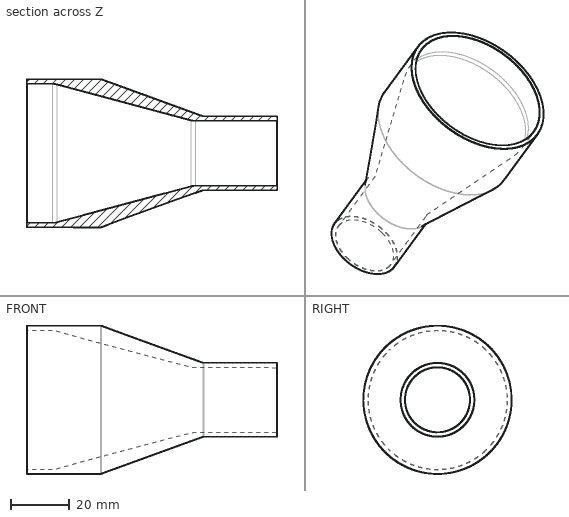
import cadquery as cq
import math

total_length = 85.7

large_diameter = 50.8
small_diameter = 25.4
end_length = 25.4
outer_blend_radius = 0.8
outer_cone_start = end_length
outer_cone_end = total_length - end_length

large_bore = 47.5
small_bore = 22.1
bore_cone_start = 9.5
bore_half_angle = 15.0
bore_blend_radius = 6.4
bore_cone_length = (large_bore - small_bore) / 2 / math.tan(math.radians(bore_half_angle))
bore_cone_end = bore_cone_start + bore_cone_length

rim_chamfer = 0.13


def tapered_solid(start_diameter, end_diameter, cone_start, cone_end, blend_radius):
    """Cylinder, cone and cylinder along X, with both ends of the cone blended."""
    half_profile = (
        cq.Workplane("XY")
        .lineTo(0, start_diameter / 2)
        .lineTo(cone_start, start_diameter / 2)
        .lineTo(cone_end, end_diameter / 2)
        .lineTo(total_length, end_diameter / 2)
        .lineTo(total_length, 0)
        .close()
    )
    solid = half_profile.revolve(360, (0, 0, 0), (1, 0, 0))
    return solid.faces("%CONE").edges("%CIRCLE").fillet(blend_radius)


outer_body = tapered_solid(
    large_diameter, small_diameter, outer_cone_start, outer_cone_end, outer_blend_radius
)
bore = tapered_solid(large_bore, small_bore, bore_cone_start, bore_cone_end, bore_blend_radius)

reducer = outer_body.cut(bore)

result = reducer.faces("<X or >X").edges().chamfer(rim_chamfer)